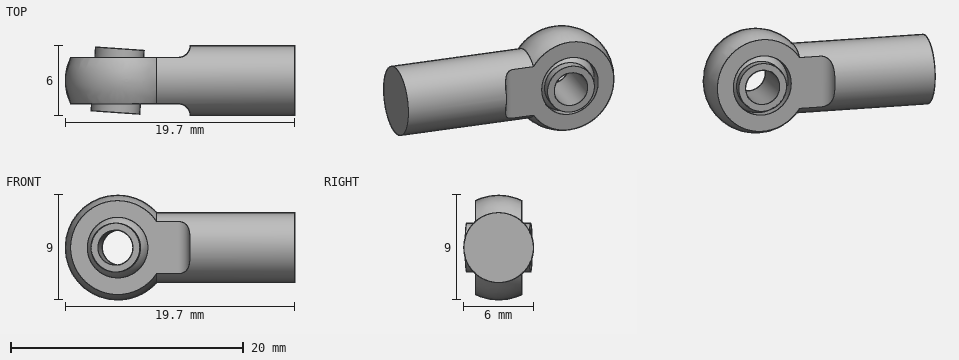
import cadquery as cq
import math


eye_diameter = 9.0
eye_width = 4.0
shank_diameter = 6.0
shank_length = 9.0
flat_blend_radius = (shank_diameter - eye_width) / 2
flat_end_x = 5.22
shank_start_x = flat_end_x + flat_blend_radius
overall_end_x = shank_start_x + shank_length

ball_diameter = 5.6
seat_opening_diameter = 5.2
sleeve_diameter = 4.2
sleeve_length = 5.5
bore_diameter = 3.0
swivel_angle = -4.0


def cylinder_along_y(diameter, length):
    """Cylinder on the Y axis, centred on the origin."""
    return cq.Workplane("XZ").circle(diameter / 2).extrude(length / 2, both=True)


def flattened_neck():
    """Round shank stock, thinned to the eye width and blended out to full diameter by concave arcs."""
    half_width = eye_width / 2
    shank_radius = shank_diameter / 2
    arc_offset = flat_blend_radius * math.sqrt(0.5)
    arc_middle_x = flat_end_x + arc_offset
    arc_middle_y = shank_radius - arc_offset
    profile = (
        cq.Workplane("XY")
        .moveTo(0, -half_width)
        .lineTo(flat_end_x, -half_width)
        .threePointArc((arc_middle_x, -arc_middle_y), (shank_start_x, -shank_radius))
        .lineTo(overall_end_x, -shank_radius)
        .lineTo(overall_end_x, shank_radius)
        .lineTo(shank_start_x, shank_radius)
        .threePointArc((arc_middle_x, arc_middle_y), (flat_end_x, half_width))
        .lineTo(0, half_width)
        .close()
        .extrude(shank_radius, both=True)
    )
    round_stock = cq.Workplane("YZ").circle(shank_radius).extrude(overall_end_x)
    return round_stock.intersect(profile)


def make_housing():
    """Spherical eye with flat sides, joined to the shank, with a spherical seat open at both sides."""
    eye = cq.Workplane("XY").sphere(eye_diameter / 2).intersect(cylinder_along_y(eye_diameter, eye_width))
    seat = cq.Workplane("XY").sphere(ball_diameter / 2)
    openings = cylinder_along_y(seat_opening_diameter, eye_width)
    return eye.union(flattened_neck()).cut(openings).cut(seat)


def make_ball():
    """Ball with a sleeve through it and a plain bore, swivelled slightly in its seat."""
    bore_radius = bore_diameter / 2
    sleeve_radius = sleeve_diameter / 2
    ball_radius = ball_diameter / 2
    shoulder_y = math.sqrt(ball_radius**2 - sleeve_radius**2)
    ball = (
        cq.Workplane("XY")
        .moveTo(bore_radius, -sleeve_length / 2)
        .lineTo(sleeve_radius, -sleeve_length / 2)
        .lineTo(sleeve_radius, -shoulder_y)
        .threePointArc((ball_radius, 0), (sleeve_radius, shoulder_y))
        .lineTo(sleeve_radius, sleeve_length / 2)
        .lineTo(bore_radius, sleeve_length / 2)
        .close()
        .revolve(360, (0, 0, 0), (0, 1, 0))
    )
    return ball.rotate((0, 0, 0), (0, 0, 1), swivel_angle)


housing = make_housing()
ball = make_ball()

result = cq.Compound.makeCompound([housing.solids().val(), ball.solids().val()])